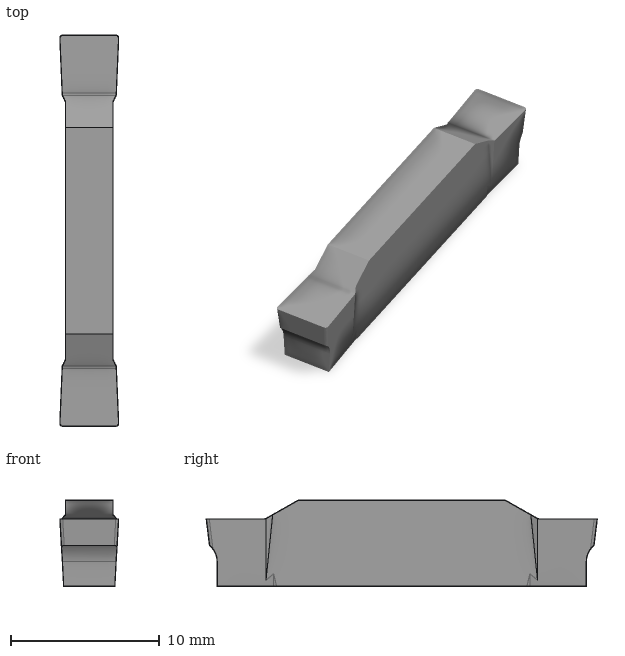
import cadquery as cq
import math


length = 26.26
height = 5.79
edge_width = 3.96
body_width = 3.22

land_height = 4.53
land_length = 3.97
land_end_radius = 0.35
top_start_inset = 6.19
front_face_bottom = 2.75
front_clearance_angle = 7
heel_inset = 0.73
heel_height = 1.665

corner_radius = 0.2
back_taper = 0.042
side_clearance = 0.051
head_length = 4.02
recess_length = 4.53
recess_runout = 0.20
ramp_run = 2.0

half_length = length / 2
half_body = body_width / 2


def head_half_width(inset, z):
    return edge_width / 2 - back_taper * (inset - corner_radius) - side_clearance * (land_height - z)


def level_with_body(inset):
    """Height at which the tapering head side crosses the flat body side."""
    return land_height - (head_half_width(inset, land_height) - half_body) / side_clearance


def tetrahedron(a, b, c, d):
    triangles = [(a, b, c), (a, b, d), (a, c, d), (b, c, d)]
    faces = []
    for triangle in triangles:
        points = [cq.Vector(*point) for point in triangle]
        faces.append(cq.Face.makeFromWires(cq.Wire.makePolygon(points, close=True)))
    return cq.Workplane(cq.Solid.makeSolid(cq.Shell.makeShell(faces)))


def on_both_sides(solid):
    return solid.union(solid.mirror("YZ"))


def side_profile():
    """Half of the part's side outline, extruded wider than the part."""
    front_slope = math.tan(math.radians(front_clearance_angle))
    front_bottom_inset = front_slope * (land_height - front_face_bottom)
    heel_y = half_length - heel_inset
    front_bottom_y = half_length - front_bottom_inset
    reach = front_bottom_y - heel_y
    rise = front_face_bottom - heel_height
    sweep = 2 * math.atan2(reach, rise)
    radius = rise / math.sin(sweep)
    arc_middle = (
        -heel_y - radius * (1 - math.cos(sweep / 2)),
        heel_height + radius * math.sin(sweep / 2),
    )
    profile = (
        cq.Workplane("YZ")
        .moveTo(0, 0)
        .lineTo(-heel_y, 0)
        .lineTo(-heel_y, heel_height)
        .threePointArc(arc_middle, (-front_bottom_y, front_face_bottom))
        .lineTo(-half_length, land_height)
        .lineTo(-half_length + land_length, land_height)
        .lineTo(-half_length + top_start_inset, height)
        .lineTo(0, height)
        .close()
        .extrude(edge_width, both=True)
    )
    land_end = cq.selectors.NearestToPointSelector((0, -half_length + land_length, land_height))
    return profile.edges(land_end).fillet(land_end_radius)


def tapered_block(inset):
    """Block with the head's tapering sides, from the cutting edge to the given inset."""
    y_front = -half_length
    y_back = y_front + inset

    def outline(z):
        front = head_half_width(0, z)
        back = head_half_width(inset, z)
        return [(-front, y_front), (front, y_front), (back, y_back), (-back, y_back)]

    return (
        cq.Workplane("XY")
        .polyline(outline(0))
        .close()
        .workplane(offset=height)
        .polyline(outline(height))
        .close()
        .loft(ruled=True, combine=True)
    )


def body_block(start_inset, end_inset):
    y_start = -half_length + start_inset
    return cq.Workplane("XY").box(
        body_width, end_inset - start_inset, height, centered=(True, False, False)
    ).translate((0, y_start, 0))


def ramps():
    """Slanted faces leading from the head's sides in to the narrower body."""
    y = -half_length + head_length
    wide = head_half_width(head_length, height)
    run = ramp_run * (wide - half_body)
    return on_both_sides(tetrahedron(
        (half_body, y, level_with_body(head_length)),
        (half_body, y, height),
        (wide, y, height),
        (half_body, y + run, height),
    ))


def recess_runouts():
    """Slanted ends of the shallow recesses low on the body's sides."""
    y = -half_length + recess_length
    return on_both_sides(tetrahedron(
        (half_body, y, level_with_body(recess_length)),
        (half_body, y, 0),
        (head_half_width(recess_length, 0), y, 0),
        (half_body, y + recess_runout, 0),
    ))


def half_insert():
    profile = side_profile()
    head = tapered_block(head_length).intersect(profile)
    front_middle = (0, -half_length, (land_height + front_face_bottom) / 2)
    front_face = head.faces(cq.selectors.NearestToPointSelector(front_middle))
    head = front_face.edges("not |X").fillet(corner_radius)
    neck = tapered_block(recess_length).intersect(body_block(head_length, recess_length))
    body = body_block(recess_length, half_length).cut(recess_runouts())
    return head.union(neck.union(body).union(ramps()).intersect(profile))


half = half_insert()
result = half.union(half.mirror("XZ"))